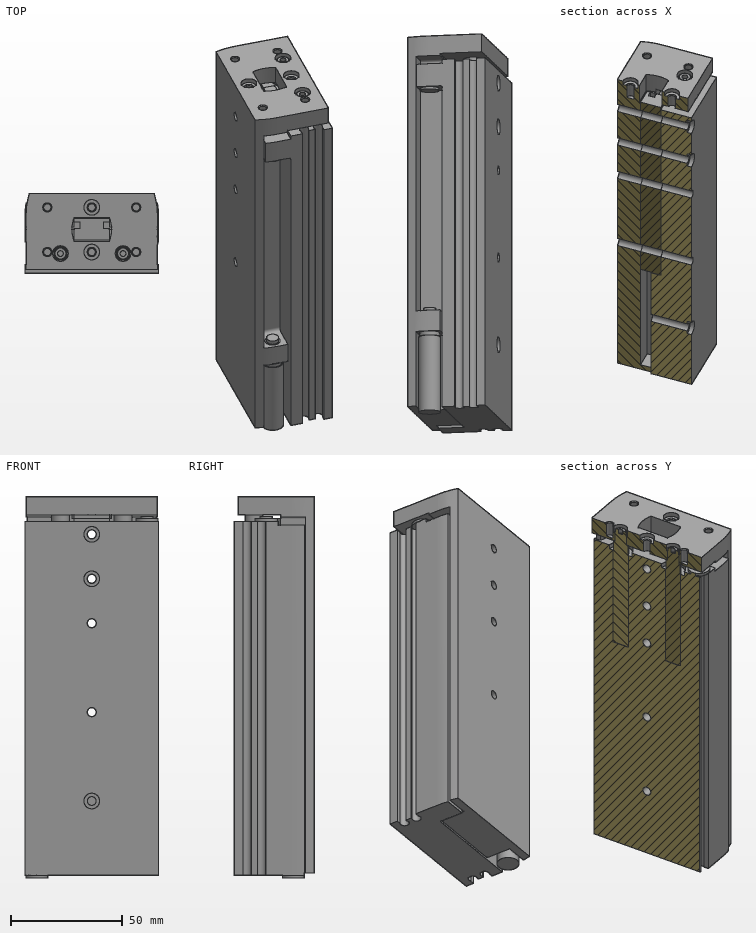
import cadquery as cq
import math

TOP = 171.4
BACK = 36.0

SIDE_STRAIGHT = 26.2
BACK_CURVE_RADIUS = 34.3

CHANNEL_FLOOR = 19.7
BLOCK_FRONT = 20.9
BLOCK_HALF = 18.0
TOP_FILLET = 1.0
LUG_FILLET = 1.7
CHANNEL_HALF = 18.7

HOUSING_HALF = 30.0
HOUSING_BACK = 31.5
HOUSING_BOTTOM = 1.2
HOUSING_TOP = 160.3
SHOULDER_TOP = 158.5
STOP_BOTTOM = 148.3
RECESS_FILLET = 1.0
BUMPER_DIAMETER = 8.5
BUMPER_HEIGHT = 1.0
BOSS_X = 24.9
BOSS_Y = 14.4
BOSS_DIAMETER = 10.0
BOSS_HEIGHT = 1.4
NIPPLE_DIAMETER = 5.5
NIPPLE_HEIGHT = 0.9

GROOVE_CENTERS = (5.8, 12.3)
GROOVE_NECK = 3.6
GROOVE_NECK_X = 27.8
GROOVE_DIAMETER = 4.1
LAND_INSET = 1.5

MOUNT_PITCH = 40.0
LOWEST_MOUNT = 34.6
MOUNT_HOLE = 4.0
MOUNT_COUNTERBORE = 7.0
MOUNT_COUNTERBORE_DEPTH = 2.0
PLAIN_MOUNTS = (LOWEST_MOUNT + MOUNT_PITCH, LOWEST_MOUNT + 2 * MOUNT_PITCH)
UPPER_MOUNTS = (LOWEST_MOUNT + 2.5 * MOUNT_PITCH, LOWEST_MOUNT + 3 * MOUNT_PITCH)
THROUGH_MOUNTS = PLAIN_MOUNTS + UPPER_MOUNTS
COUNTERBORED_MOUNTS = (LOWEST_MOUNT,) + UPPER_MOUNTS

TABLE_HALF = 29.5
TABLE_BOTTOM = 2.2
PLATE_INNER = 32.0
END_FRONT = 1.7
END_BOTTOM = 163.2
END_STEP_BOTTOM = 162.3
GROOVE_END = 5.1
LUG_BOTTOM = 36.3
LUG_TOP = 45.8

PICK_MARGIN = 0.2

END_HOLE_Y = (9.6, 29.7)
CORNER_HOLE_X = MOUNT_PITCH / 2
THREAD_DIAMETER = 3.3
THREAD_MOUTH = 4.1
THREAD_DEPTH = 6.9
END_COUNTERBORE = 7.0
END_COUNTERBORE_DEPTH = 2.0
WINDOW_CORNER_HALF = 7.9
WINDOW_HALF = 8.9
WINDOW_CLEARANCE = 0.5

RAIL_HALF = 7.9
RAIL_FRONT = 14.9
RAIL_BACK = 24.7
RAIL_TOP = 161.6
RAIL_LENGTH = 100.0
RAIL_BOTTOM = RAIL_TOP - RAIL_LENGTH
RACE_FRONT = 20.2
RACE_BACK = 23.1
RACE_HALF = 5.3

ROD_X = 14.0
ROD_Y = 8.9
ROD_DIAMETER = 8.0
ROD_INSERTION = 51.5
ROD_SEAL_DIAMETER = 12.0
ROD_SEAL_DEPTH = 2.0
SPIGOT_DIAMETER = 6.0
SPIGOT_BORE = 7.0
SPIGOT_BORE_DEPTH = 3.0
SPIGOT_RECESS = 1.0
SPIGOT_CHAMFER = 0.5
SOCKET_DIAMETER = 2.5
SOCKET_DEPTH = 2.0

ABSORBER_X = -24.7
ABSORBER_Y = 26.5
ABSORBER_DIAMETER = 10.0
ABSORBER_SHOULDER = 34.5
COLLAR_DIAMETER = 9.0
NECK_DIAMETER = 6.9
TIP_DIAMETER = 5.5
TIP_HEIGHT = 1.7


def box(x0, x1, y0, y1, z0, z1):
    """Box between two opposite corners."""
    return cq.Workplane("XY").box(x1 - x0, y1 - y0, z1 - z0, centered=False).translate((x0, y0, z0))


def rod_along_z(x, y, diameter, z0, z1):
    """Upright cylinder between two heights."""
    return cq.Workplane("XY", origin=(x, y, z0)).circle(diameter / 2).extrude(z1 - z0)


def rod_along_y(z, diameter, y0, y1):
    """Cylinder along Y in the middle plane of the slide."""
    return cq.Workplane("XZ", origin=(0, y0, z)).circle(diameter / 2).extrude(y0 - y1)


def curved_body(half, front, back, z0, z1):
    """Upright body whose sides curve inward behind SIDE_STRAIGHT."""
    def side(y):
        rise = max(y - SIDE_STRAIGHT, 0)
        return half - BACK_CURVE_RADIUS + math.sqrt(BACK_CURVE_RADIUS**2 - rise**2)

    start = max(front, SIDE_STRAIGHT)
    middle = (start + back) / 2
    outline = cq.Workplane("XY", origin=(0, 0, z0)).moveTo(-side(front), front).lineTo(side(front), front)
    if front < start:
        outline = outline.lineTo(side(start), start)
    outline = outline.threePointArc((side(middle), middle), (side(back), back)).lineTo(-side(back), back)
    outline = outline.threePointArc((-side(middle), middle), (-side(start), start))
    return outline.close().extrude(z1 - z0)


def sensor_grooves():
    """Keyhole grooves in both sides, with the land between them set back."""
    first, last = GROOVE_CENTERS
    cutters = box(HOUSING_HALF - LAND_INSET, HOUSING_HALF, first, last, 0, TOP)
    offset = math.sqrt(GROOVE_DIAMETER**2 - GROOVE_NECK**2) / 2
    center_x = GROOVE_NECK_X - offset
    for y in GROOVE_CENTERS:
        cutters = cutters.union(
            box(center_x, HOUSING_HALF, y - GROOVE_NECK / 2, y + GROOVE_NECK / 2, 0, TOP)
        )
        cutters = cutters.union(rod_along_z(center_x, y, GROOVE_DIAMETER, 0, TOP))
    return cutters.union(cutters.mirror("YZ"))


def make_housing():
    body = curved_body(HOUSING_HALF, 0, HOUSING_BACK, HOUSING_BOTTOM, HOUSING_TOP)
    body = body.cut(box(-HOUSING_HALF, HOUSING_HALF, CHANNEL_FLOOR, BACK, SHOULDER_TOP, TOP))
    body = body.cut(box(-CHANNEL_HALF, CHANNEL_HALF, CHANNEL_FLOOR, BACK, 0, TOP))
    recess = box(-HOUSING_HALF, -CHANNEL_HALF, CHANNEL_FLOOR, BACK, 0, STOP_BOTTOM)
    recess = recess.edges("|X and <Y and >Z").fillet(RECESS_FILLET)
    body = body.cut(recess)
    body = body.cut(sensor_grooves())
    body = body.cut(box(-RAIL_HALF, RAIL_HALF, RAIL_FRONT, CHANNEL_FLOOR, RAIL_BOTTOM, TOP))
    for x in (-ROD_X, ROD_X):
        body = body.cut(rod_along_z(x, ROD_Y, ROD_DIAMETER, HOUSING_TOP - ROD_INSERTION, TOP))
        body = body.cut(rod_along_z(x, ROD_Y, ROD_SEAL_DIAMETER, HOUSING_TOP - ROD_SEAL_DEPTH, TOP))
    for z in (LOWEST_MOUNT,) + THROUGH_MOUNTS:
        body = body.cut(rod_along_y(z, MOUNT_HOLE, 0, BACK))
    for z in COUNTERBORED_MOUNTS:
        body = body.cut(rod_along_y(z, MOUNT_COUNTERBORE, 0, MOUNT_COUNTERBORE_DEPTH))
    body = body.union(
        rod_along_z(ABSORBER_X, ABSORBER_Y, BUMPER_DIAMETER, STOP_BOTTOM - BUMPER_HEIGHT, STOP_BOTTOM)
    )
    boss_top = HOUSING_TOP + BOSS_HEIGHT
    body = body.union(rod_along_z(BOSS_X, BOSS_Y, BOSS_DIAMETER, HOUSING_TOP, boss_top))
    return body.union(rod_along_z(BOSS_X, BOSS_Y, NIPPLE_DIAMETER, boss_top, boss_top + NIPPLE_HEIGHT))


def end_plate_window():
    """Opening with flat front and back and bowed ends, above the end of the rail."""
    front = RAIL_FRONT - WINDOW_CLEARANCE
    back = RAIL_BACK + WINDOW_CLEARANCE
    middle = (front + back) / 2
    outline = cq.Workplane("XY", origin=(0, 0, RAIL_TOP)).moveTo(-WINDOW_CORNER_HALF, front)
    outline = outline.lineTo(WINDOW_CORNER_HALF, front)
    outline = outline.threePointArc((WINDOW_HALF, middle), (WINDOW_CORNER_HALF, back))
    outline = outline.lineTo(-WINDOW_CORNER_HALF, back)
    outline = outline.threePointArc((-WINDOW_HALF, middle), (-WINDOW_CORNER_HALF, front))
    return outline.close().extrude(TOP - RAIL_TOP)


def threaded_hole(x, y, bottom, top):
    """Cutter for an upright hole with a chamfered mouth."""
    depth = (THREAD_MOUTH - THREAD_DIAMETER) / 2
    mouth = cq.Solid.makeCone(
        THREAD_DIAMETER / 2, THREAD_MOUTH / 2, depth, cq.Vector(x, y, top - depth), cq.Vector(0, 0, 1)
    )
    return rod_along_z(x, y, THREAD_DIAMETER, bottom, top).union(cq.Workplane(mouth))


def end_plate_holes():
    """Corner threads, counterbored middle threads and the stepped bores for the rod ends."""
    cutters = end_plate_window()
    floor = TOP - END_COUNTERBORE_DEPTH
    for y in END_HOLE_Y:
        for x in (-CORNER_HOLE_X, CORNER_HOLE_X):
            cutters = cutters.union(threaded_hole(x, y, TOP - THREAD_DEPTH, TOP))
        cutters = cutters.union(threaded_hole(0, y, END_STEP_BOTTOM, floor))
        cutters = cutters.union(rod_along_z(0, y, END_COUNTERBORE, floor, TOP))
    for x in (-ROD_X, ROD_X):
        cutters = cutters.union(rod_along_z(x, ROD_Y, SPIGOT_DIAMETER, END_BOTTOM, TOP))
        cutters = cutters.union(rod_along_z(x, ROD_Y, SPIGOT_BORE, TOP - SPIGOT_BORE_DEPTH, TOP))
    return cutters


def make_table():
    body = curved_body(TABLE_HALF, PLATE_INNER, BACK, TABLE_BOTTOM, TOP)
    body = body.union(curved_body(TABLE_HALF, END_FRONT, BACK, END_BOTTOM, TOP))
    body = body.union(curved_body(TABLE_HALF, BLOCK_FRONT, BACK, END_STEP_BOTTOM, END_BOTTOM))
    body = body.union(box(-BLOCK_HALF, BLOCK_HALF, BLOCK_FRONT, BACK, TABLE_BOTTOM, END_BOTTOM))
    body = body.union(box(-BLOCK_HALF, BLOCK_HALF, CHANNEL_FLOOR, BLOCK_FRONT, TABLE_BOTTOM, GROOVE_END))
    lug = curved_body(TABLE_HALF, BLOCK_FRONT, BACK, LUG_BOTTOM, LUG_TOP)
    body = body.union(lug.intersect(box(-TABLE_HALF, 0, 0, BACK, 0, TOP)))
    for side, z, radius in (
        (-1, LUG_TOP, LUG_FILLET),
        (-1, END_STEP_BOTTOM, TOP_FILLET),
        (1, END_STEP_BOTTOM, TOP_FILLET),
    ):
        corner = cq.selectors.BoxSelector(
            (side * BLOCK_HALF - PICK_MARGIN, BLOCK_FRONT, z - PICK_MARGIN),
            (side * BLOCK_HALF + PICK_MARGIN, PLATE_INNER, z + PICK_MARGIN),
        )
        body = body.edges("|Y").edges(corner).fillet(radius)
    body = body.cut(end_plate_holes())
    body = body.cut(box(-RAIL_HALF, RAIL_HALF, BLOCK_FRONT, RAIL_BACK, GROOVE_END, RAIL_TOP))
    for z in THROUGH_MOUNTS:
        body = body.cut(rod_along_y(z, MOUNT_HOLE, BLOCK_FRONT, BACK))
    return body.cut(rod_along_z(ABSORBER_X, ABSORBER_Y, NECK_DIAMETER, LUG_BOTTOM, LUG_TOP))


def make_rail():
    body = box(-RAIL_HALF, RAIL_HALF, RAIL_FRONT, RAIL_BACK, RAIL_BOTTOM, RAIL_TOP)
    for x0, x1 in ((-RAIL_HALF, -RACE_HALF), (RACE_HALF, RAIL_HALF)):
        body = body.cut(box(x0, x1, RACE_FRONT, RACE_BACK, RAIL_BOTTOM, RAIL_TOP))
    for z in THROUGH_MOUNTS:
        body = body.cut(rod_along_y(z, MOUNT_HOLE, RAIL_FRONT, RAIL_BACK))
    return body


def make_rod(x):
    """Piston rod with a socketed spigot that fills its bore in the end plate."""
    spigot_top = TOP - SPIGOT_RECESS
    body = rod_along_z(x, ROD_Y, ROD_DIAMETER, HOUSING_TOP - ROD_INSERTION, END_BOTTOM)
    spigot = rod_along_z(x, ROD_Y, SPIGOT_DIAMETER, END_BOTTOM, spigot_top)
    body = body.union(spigot.faces(">Z").chamfer(SPIGOT_CHAMFER))
    return body.cut(rod_along_z(x, ROD_Y, SOCKET_DIAMETER, spigot_top - SOCKET_DEPTH, spigot_top))


def make_absorber():
    body = rod_along_z(ABSORBER_X, ABSORBER_Y, ABSORBER_DIAMETER, 0, ABSORBER_SHOULDER)
    body = body.union(
        rod_along_z(ABSORBER_X, ABSORBER_Y, COLLAR_DIAMETER, ABSORBER_SHOULDER, LUG_BOTTOM)
    )
    body = body.union(rod_along_z(ABSORBER_X, ABSORBER_Y, NECK_DIAMETER, LUG_BOTTOM, LUG_TOP))
    return body.union(rod_along_z(ABSORBER_X, ABSORBER_Y, TIP_DIAMETER, LUG_TOP, LUG_TOP + TIP_HEIGHT))


housing = make_housing()
table = make_table()
rail = make_rail()
rods = [make_rod(x) for x in (-ROD_X, ROD_X)]
absorber = make_absorber()

result = cq.Compound.makeCompound(
    [housing.val(), table.val(), rail.val(), *[rod.val() for rod in rods], absorber.val()]
)